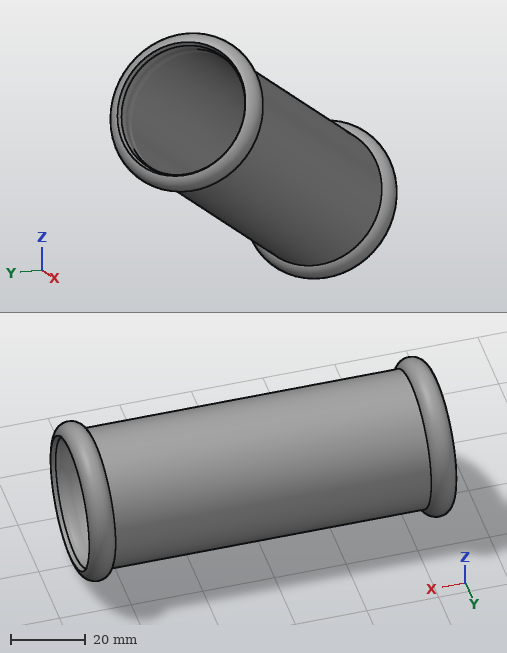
import cadquery as cq
import math

length = 102.5
bead_outer_radius = 21.8
tube_radius = 38.4 / 2
bore_radius = 35.4 / 2
seat_radius = 35.8 / 2
mouth_radius = 18.6

seal_start = 2.4
seal_end = 5.3
seal_middle = (seal_start + seal_end) / 2

bead_radius = 3.7
bead_center_radius = bead_outer_radius - bead_radius

lip_depth = 1.2
step_start = 6.7
bore_start = 7.9


def bead_offset(radius):
    """Axial distance from the bead center to its surface at a given radius."""
    return math.sqrt(bead_radius**2 - (radius - bead_center_radius) ** 2)


def sleeve_half():
    """Revolve one half of the sleeve, from the mouth edge on the end face to the middle."""
    bead_center = bead_offset(mouth_radius)
    profile = (
        cq.Workplane("XY")
        .moveTo(0, mouth_radius)
        .threePointArc(
            (bead_center, bead_outer_radius),
            (bead_center + bead_offset(tube_radius), tube_radius),
        )
        .lineTo(length / 2, tube_radius)
        .lineTo(length / 2, bore_radius)
        .lineTo(bore_start, bore_radius)
        .lineTo(step_start, seat_radius)
        .lineTo(seal_end, seat_radius)
        .threePointArc((seal_middle, bore_radius), (seal_start, seat_radius))
        .lineTo(lip_depth, seat_radius)
        .close()
    )
    return profile.revolve(360, (0, 0, 0), (1, 0, 0)).translate((-length / 2, 0, 0))


left_half = sleeve_half()
result = left_half.union(left_half.mirror("YZ"))